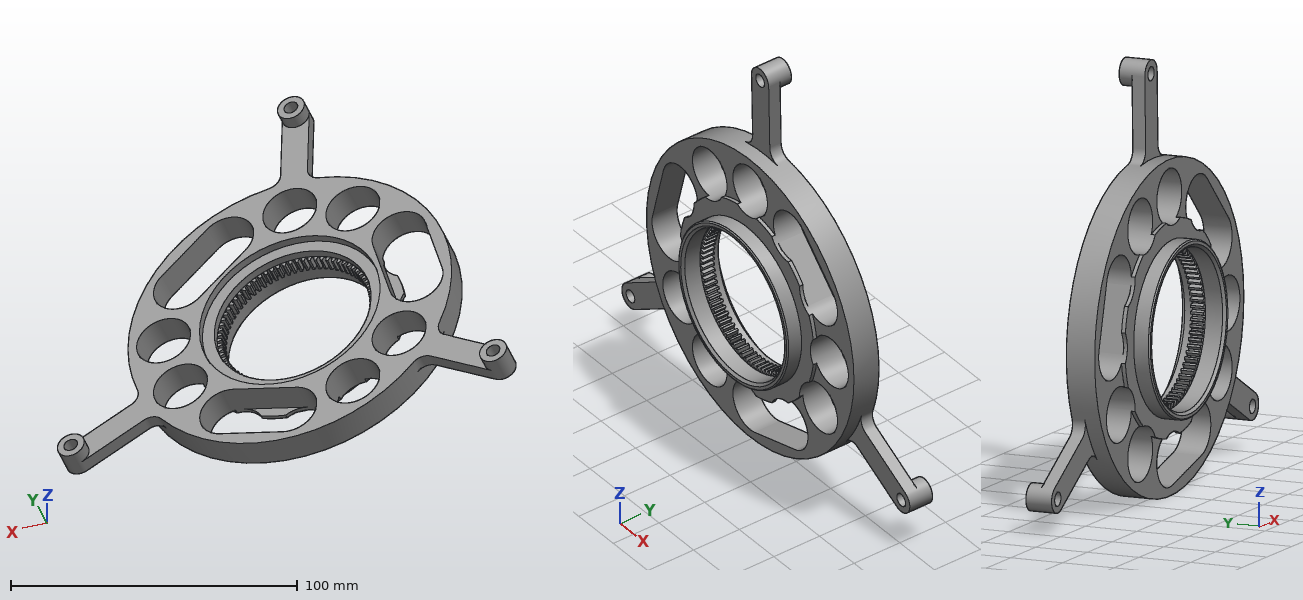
import cadquery as cq
import math

disc_thickness = 11.0
flange_thickness = 1.5
hub_length = 6.2
arm_thickness = 5.0
pin_rise = 5.0

disc_front = -disc_thickness
flange_front = disc_front - flange_thickness
hub_front = flange_front - hub_length

disc_diameter = 120.0
flange_diameter = 77.6
hub_diameter = 63.5
hub_chamfer = 0.5

bore_diameter = 58.1
bore_chamfer = 1.0
tooth_root_diameter = bore_diameter
tooth_tip_diameter = 54.8
tooth_count = 75
tooth_pitch = 360 / tooth_count
first_gap_angle = 2.1
gap_width_at_tip = 1.5
gap_width_at_root = 0.7
teeth_front = -11.0
teeth_back = -6.0
recess_diameter = 67.0
recess_depth = 3.0

window_diameter = 20.0
window_circle_radius = 46.8
window_count = 12
window_spacing = 360 / window_count
slot_start_angles = (30, 150, 270)

arm_count = 3
first_arm_angle = 91.4
arm_width = 10.0
arm_reach = 90.5
arm_root_fillet = 5.0
arm_overlap = 2.5
pin_hole_diameter = 5.0


def cylinder(diameter, front, back, x=0, z=0):
    """Cylinder along Y between two stations."""
    plane = cq.Workplane("XZ", origin=(0, back, 0))
    return plane.center(x, z).circle(diameter / 2).extrude(back - front)


def polar(radius, angle):
    """X and Z of a point in the plane of the disc."""
    return radius * math.cos(math.radians(angle)), radius * math.sin(math.radians(angle))


def rotate_about_axis(shape, angle):
    """Turn a shape about the Y axis, from +X toward +Z."""
    return shape.rotate((0, 0, 0), (0, -1, 0), angle)


def make_arm():
    """Arm along +X with filleted root, end pin and pin hole."""
    disc_radius = disc_diameter / 2
    half_width = arm_width / 2
    fillet_z = half_width + arm_root_fillet
    fillet_x = math.sqrt((disc_radius + arm_root_fillet) ** 2 - fillet_z ** 2)
    disc_share = disc_radius / (disc_radius + arm_root_fillet)
    root_x = fillet_x * disc_share
    root_z = fillet_z * disc_share
    mid_angle = (math.atan2(-fillet_z, -fillet_x) - math.pi / 2) / 2
    mid_x = fillet_x - arm_root_fillet * abs(math.cos(mid_angle))
    mid_z = fillet_z - arm_root_fillet * abs(math.sin(mid_angle))
    inner_x = disc_radius - arm_overlap
    arm = (
        cq.Workplane("XZ")
        .moveTo(inner_x, -root_z)
        .lineTo(root_x, -root_z)
        .threePointArc((mid_x, -mid_z), (fillet_x, -half_width))
        .lineTo(arm_reach, -half_width)
        .lineTo(arm_reach, half_width)
        .lineTo(fillet_x, half_width)
        .threePointArc((mid_x, mid_z), (root_x, root_z))
        .lineTo(inner_x, root_z)
        .close()
        .extrude(arm_thickness)
    )
    pin = cylinder(arm_width, -arm_thickness, pin_rise, arm_reach)
    hole = cylinder(pin_hole_diameter, -arm_thickness, pin_rise, arm_reach)
    return arm.union(pin).cut(hole)


def make_slot_bridge(start_angle):
    """Straight-sided block that joins two neighbouring windows into a slot."""
    half_span = window_spacing / 2
    chord = 2 * window_circle_radius * math.sin(math.radians(half_span))
    chord_distance = window_circle_radius * math.cos(math.radians(half_span))
    bridge = cq.Workplane("XZ").center(chord_distance, 0).rect(window_diameter, chord).extrude(disc_thickness)
    return rotate_about_axis(bridge, start_angle + half_span)


def make_bore():
    """Spaces inside the hub: chamfered mouth, plain bore, toothed stretch and back recess."""
    tip_radius = tooth_tip_diameter / 2
    root_radius = tooth_root_diameter / 2
    points = []
    for gap in range(tooth_count):
        gap_angle = first_gap_angle + gap * tooth_pitch
        for radius, offset in (
            (tip_radius, -gap_width_at_tip / 2),
            (root_radius, -gap_width_at_root / 2),
            (root_radius, gap_width_at_root / 2),
            (tip_radius, gap_width_at_tip / 2),
        ):
            points.append(polar(radius, gap_angle + math.degrees(offset / radius)))
    toothed = cq.Workplane("XZ", origin=(0, teeth_back, 0)).polyline(points).close()
    toothed = toothed.extrude(teeth_back - teeth_front)
    front = cylinder(bore_diameter, hub_front, teeth_front)
    back = cylinder(bore_diameter, teeth_back, 0)
    recess = cylinder(recess_diameter, -recess_depth, 0)
    mouth_radius = bore_diameter / 2 + bore_chamfer
    mouth = cq.Workplane(
        cq.Solid.makeCone(
            mouth_radius,
            bore_diameter / 2,
            bore_chamfer,
            pnt=cq.Vector(0, hub_front, 0),
            dir=cq.Vector(0, 1, 0),
        )
    )
    return front, toothed, back, recess, mouth


body = cylinder(disc_diameter, disc_front, 0)
for start_angle in slot_start_angles:
    body = body.cut(make_slot_bridge(start_angle))
body = body.union(cylinder(flange_diameter, flange_front, disc_front))

for index in range(window_count):
    window_x, window_z = polar(window_circle_radius, index * window_spacing)
    body = body.cut(cylinder(window_diameter, flange_front, 0, window_x, window_z))

hub = cylinder(hub_diameter, hub_front, flange_front).faces("<Y").chamfer(hub_chamfer)
body = body.union(hub)

arm = make_arm()
for index in range(arm_count):
    body = body.union(rotate_about_axis(arm, first_arm_angle + index * 360 / arm_count))

for space in make_bore():
    body = body.cut(space)

result = body